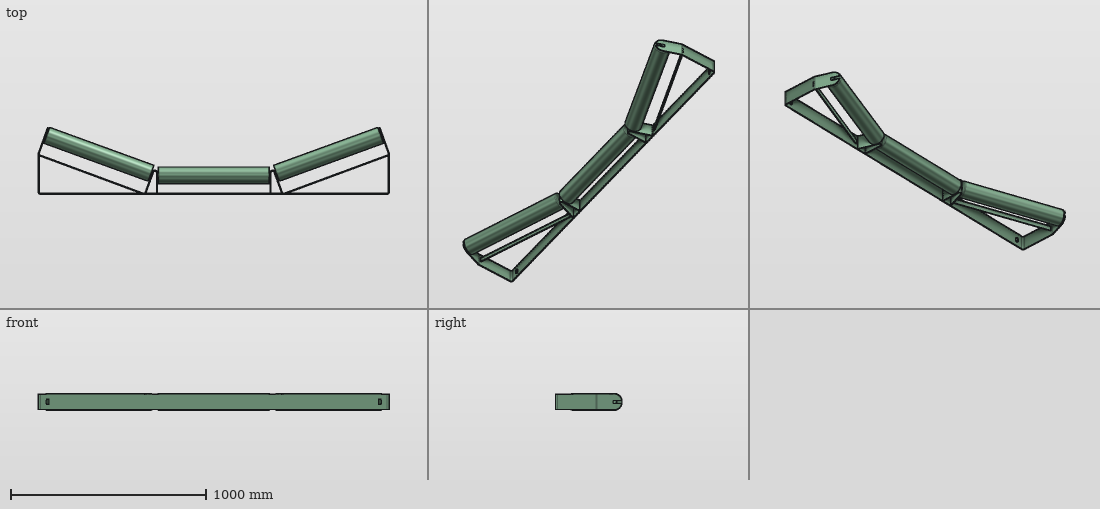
import cadquery as cq
import math


frame_length = 1800.0
strip_width = 80.0
strip_thickness = 5.8
bend_radius = 11.9

trough_angle = 20.0
roller_diameter = 88.0
roller_length = 570.0
roller_edge_radius = 4.0
roller_end_gap = 4.0
middle_axis_height = 97.0
side_center_x = 589.0
side_center_height = 205.0

shaft_height = 22.0
shaft_flat_width = 16.0

bracket_top = 125.0
bracket_bend_radius = 11.2

brace_width = 27.0
brace_foot_x = 360.0
brace_head_height = 203.0

mount_slot_length = 27.0
mount_slot_width = 16.0
mount_slot_inset = 49.0

SIN = math.sin(math.radians(trough_angle))
COS = math.cos(math.radians(trough_angle))
half_length = frame_length / 2
seat_inner = roller_length / 2 + roller_end_gap
seat_outer = seat_inner + strip_thickness
cut_clearance = 18.0


def left_roller_point(along, across):
    """Point given along the left roller axis (towards the middle) and square to it (upwards)."""
    return (
        -side_center_x + along * COS + across * SIN,
        side_center_height - along * SIN + across * COS,
    )


def left_roller_across(along, height):
    """Distance square to the left roller axis at which a point reaches the given height."""
    return (height - side_center_height + along * SIN) / COS


def left_roller_across_at_x(along, x):
    """Distance square to the left roller axis at which a point reaches the given X."""
    return (x + side_center_x - along * COS) / SIN


def place_on_left_roller(shape):
    """Move a shape made along X about the origin onto the left roller axis."""
    tilted = shape.rotate((0, 0, 0), (0, 0, 1), -trough_angle)
    return tilted.translate((-side_center_x, side_center_height, 0))


def place_on_middle_roller(shape):
    return shape.translate((0, middle_axis_height, 0))


def mirrored(shape):
    """The matching shape on the other half of the frame."""
    return shape.mirror("YZ")


def inner_path(outer):
    """Path one strip thickness to the right of the outer path, with mitred corners."""
    normals = []
    for (x0, y0), (x1, y1) in zip(outer, outer[1:]):
        length = math.hypot(x1 - x0, y1 - y0)
        normals.append(((y1 - y0) / length, (x0 - x1) / length))
    before = [normals[0]] + normals
    after = normals + [normals[-1]]
    path = []
    for (x, y), (ax, ay), (bx, by) in zip(outer, before, after):
        reach = strip_thickness / (1 + ax * bx + ay * by)
        path.append((x + reach * (ax + bx), y + reach * (ay + by)))
    return path


def bent_strip(outer, outside_radius):
    """Strip of full width whose outer face follows the path, with every corner bent round."""
    inner = inner_path(outer)
    strip = cq.Workplane("XY").polyline(outer + inner[::-1]).close().extrude(strip_width / 2, both=True)
    for path, radius in ((outer, outside_radius), (inner, outside_radius - strip_thickness)):
        for x, y in path[1:-1]:
            strip = strip.edges(cq.selectors.NearestToPointSelector((x, y, 0))).fillet(radius)
    return strip


def shaft_bar(start, end):
    """Bar along X with the section of a shaft end: two flat sides with round edges between them."""
    section = cq.Workplane("YZ", origin=(start, 0, 0)).slot2D(shaft_height, shaft_flat_width)
    return section.extrude(end - start)


def shaft_slot(start, end):
    """Cutter for an upward open slot that fits a shaft end."""
    height = strip_width / 2 + cut_clearance
    opening = cq.Workplane("XY", origin=(start, 0, 0)).box(
        end - start, height, shaft_flat_width, centered=(False, False, True)
    )
    return shaft_bar(start, end).union(opening)


def make_mount_slots():
    """Cutters for the slots at both ends of the base, long across the strip."""
    slot_x = half_length - mount_slot_inset
    return (
        cq.Workplane("XZ")
        .pushPoints([(-slot_x, 0), (slot_x, 0)])
        .slot2D(mount_slot_length, mount_slot_width, 90)
        .extrude(cut_clearance, both=True)
    )


def make_frame():
    arm_end = left_roller_point(-seat_outer, 0)
    bend_across = left_roller_across_at_x(-seat_outer, -half_length)
    arm_bend = left_roller_point(-seat_outer, bend_across)
    left = [(-half_length, 0), arm_bend, arm_end]
    right = [(-x, y) for x, y in left]
    body = bent_strip(right[::-1] + left, bend_radius)

    tip_start = (-seat_outer, 0, 0)
    arm_tip = cq.Workplane("YZ", origin=tip_start).circle(strip_width / 2).extrude(strip_thickness)
    arm_tip = place_on_left_roller(arm_tip)
    arm_slot = place_on_left_roller(shaft_slot(-seat_outer - cut_clearance, -roller_length / 2))
    body = body.union(arm_tip).union(mirrored(arm_tip))
    body = body.cut(arm_slot).cut(mirrored(arm_slot))

    return body.cut(make_mount_slots())


def make_left_bracket():
    foot = left_roller_point(seat_inner, left_roller_across(seat_inner, 0))
    crest = left_roller_point(seat_inner, left_roller_across(seat_inner, bracket_top))
    outer = [foot, crest, (-seat_inner, bracket_top), (-seat_inner, 0)]
    body = bent_strip(outer, bracket_bend_radius)

    base_space = cq.Workplane("XY").box(frame_length, 2 * strip_thickness, 2 * strip_width)
    body = body.cut(base_space)

    side_slot = place_on_left_roller(shaft_slot(roller_length / 2, seat_outer))
    middle_slot = place_on_middle_roller(shaft_slot(-seat_outer, -roller_length / 2))
    return body.cut(side_slot).cut(middle_slot)


def make_left_brace():
    upright_x = half_length - strip_thickness
    slope = (brace_head_height - strip_thickness) / (upright_x - brace_foot_x)
    drop = strip_thickness * math.hypot(1, slope)
    side = [
        (-brace_foot_x, strip_thickness),
        (-upright_x, brace_head_height),
        (-upright_x, brace_head_height - drop),
        (-brace_foot_x - drop / slope, strip_thickness),
    ]
    return cq.Workplane("XY").polyline(side).close().extrude(brace_width / 2, both=True)


def make_roller():
    shell_start = (-roller_length / 2, 0, 0)
    shell = cq.Workplane("YZ", origin=shell_start).circle(roller_diameter / 2).extrude(roller_length)
    shell = shell.edges("%CIRCLE").fillet(roller_edge_radius)
    return shell.union(shaft_bar(-seat_outer, seat_outer))


frame = make_frame()
left_bracket = make_left_bracket()
left_brace = make_left_brace()
left_roller = place_on_left_roller(make_roller())
middle_roller = place_on_middle_roller(make_roller())

brackets = [left_bracket, mirrored(left_bracket)]
braces = [left_brace, mirrored(left_brace)]
rollers = [left_roller, middle_roller, mirrored(left_roller)]

bodies = [frame, *brackets, *braces, *rollers]
result = cq.Compound.makeCompound([body.solids().val() for body in bodies])